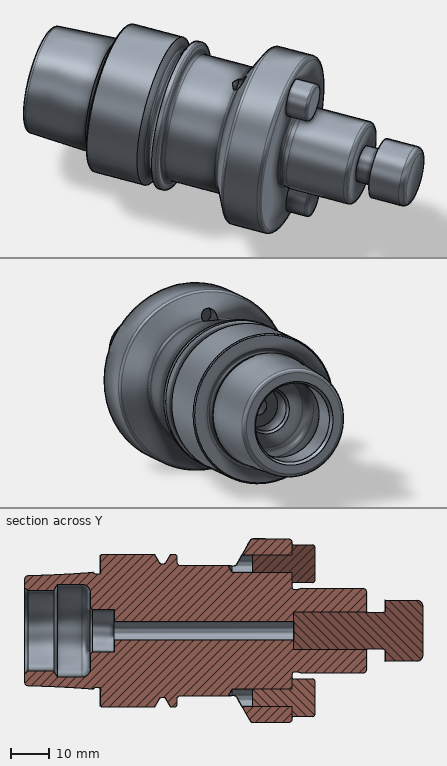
import cadquery as cq
import math

flange_face_x = 19.7
flange_end_x = 34.0
collar_start_x = 38.0
collar_end_x = 39.8
cone_start_x = 55.1
head_face_x = 69.8
spigot_end_x = 89.3
screw_head_x = 94.0
overall_length = 103.9

taper_end_x = 17.9
taper_big_radius = 15.3
taper_slope = 0.05
taper_end_round = 0.9
relief_radius = 14.9
relief_ramp_length = 0.6
relief_outer_radius = 16.1
relief_depth = 0.2
relief_round = 0.5

flange_radius = 20.0
flange_chamfer = 0.3
groove_radius = 17.5
groove_wall_angle = 30.0
groove_round = 0.6
neck_radius = 17.0
collar_round = 0.6
neck_round = 0.9

head_radius = 24.0
cone_angle = 60.0
cone_root_round = 1.0
head_round = 0.9

spigot_radius = 11.1
spigot_start_x = 72.3
spigot_round = 1.0
spigot_relief_radius = 10.8
spigot_relief_round = 0.6
spigot_relief_ramp_x = 71.1

bore_radius = 10.5
bore_mouth_radius = 11.1
bore_mouth_length = 0.9
bore_end_x = 7.7
clamp_groove_radius = 12.1
clamp_groove_angle = 60.0
clamp_groove_end_x = 17.1
clamp_floor_radius = 9.9
socket_radius = 5.5
socket_depth = 6.2
socket_chamfer = 0.6
coolant_radius = 2.4

shank_radius = 4.9
screw_tip_x = 70.1
screw_head_radius = 8.0
screw_head_round = 1.6
screw_neck_round = 0.4

pin_offset = 17.5
pin_radius = 5.0
pin_height = 5.9
pin_round = 0.6
stem_radius = 2.2
stem_length = 10.4
stem_hole_end_x = 54.1
drill_tip_length = 1.2


def x_cylinder(start_x, end_x, radius, z=0.0):
    """Cylinder along X between two stations."""
    return cq.Workplane("YZ", origin=(start_x, 0, z)).circle(radius).extrude(end_x - start_x)


def x_cone(start_x, end_x, start_radius, end_radius, z=0.0):
    """Cone or truncated cone along X between two stations."""
    return cq.Workplane(
        cq.Solid.makeCone(start_radius, end_radius, end_x - start_x,
                          cq.Vector(start_x, 0, z), cq.Vector(1, 0, 0))
    )


def disc_box(x, radius, slack):
    """Box selector around a thin slab at a station, reaching out to a radius."""
    return cq.selectors.BoxSelector((x - slack, -radius, -radius), (x + slack, radius, radius), boundingbox=True)


def ring_edges(body, x, radius):
    """Circular edges of a body centred on the X axis at a station."""
    slack = 0.01
    return body.edges(disc_box(x, radius + slack, slack) - disc_box(x, radius - slack, slack))


def arbor_blank():
    """Turned outside of the arbor, from the taper shank to the spigot."""
    taper_small_radius = taper_big_radius - taper_slope * taper_end_x
    groove_run = (flange_radius - groove_radius) * math.tan(math.radians(groove_wall_angle))
    cone_end_x = cone_start_x + (head_radius - neck_radius) / math.tan(math.radians(cone_angle))
    relief_floor_x = flange_face_x + relief_depth
    blank = (
        cq.Workplane("XY")
        .moveTo(0, 0)
        .lineTo(0, taper_small_radius)
        .lineTo(taper_end_x, taper_big_radius)
        .lineTo(taper_end_x + relief_ramp_length, relief_radius)
        .lineTo(relief_floor_x, relief_radius)
        .lineTo(flange_face_x, relief_outer_radius)
        .lineTo(flange_face_x, flange_radius - flange_chamfer)
        .lineTo(flange_face_x + flange_chamfer, flange_radius)
        .lineTo(flange_end_x, flange_radius)
        .lineTo(flange_end_x + groove_run, groove_radius)
        .lineTo(collar_start_x - groove_run, groove_radius)
        .lineTo(collar_start_x, flange_radius)
        .lineTo(collar_end_x, flange_radius)
        .lineTo(collar_end_x, neck_radius)
        .lineTo(cone_start_x, neck_radius)
        .lineTo(cone_end_x, head_radius)
        .lineTo(head_face_x, head_radius)
        .lineTo(head_face_x, spigot_relief_radius)
        .lineTo(spigot_relief_ramp_x, spigot_relief_radius)
        .lineTo(spigot_start_x, spigot_radius)
        .lineTo(spigot_end_x, spigot_radius)
        .lineTo(spigot_end_x, 0)
        .close()
        .revolve(360, (0, 0, 0), (1, 0, 0))
    )
    rounded_rings = [
        (0, taper_small_radius, taper_end_round),
        (relief_floor_x, relief_radius, relief_round),
        (flange_end_x + groove_run, groove_radius, groove_round),
        (collar_start_x - groove_run, groove_radius, groove_round),
        (collar_end_x, flange_radius, collar_round),
        (collar_end_x, neck_radius, neck_round),
        (cone_start_x, neck_radius, cone_root_round),
        (cone_end_x, head_radius, head_round),
        (head_face_x, head_radius, head_round),
        (head_face_x, spigot_relief_radius, spigot_relief_round),
        (spigot_end_x, spigot_radius, spigot_round),
    ]
    for x, radius, round_radius in rounded_rings:
        blank = ring_edges(blank, x, radius).fillet(round_radius)
    return blank


def clamp_bore():
    """Bore behind the taper end, undercut by a groove that ends in a rounded floor."""
    groove_rise = clamp_groove_radius - bore_radius
    groove_start_x = bore_end_x + groove_rise / math.tan(math.radians(clamp_groove_angle))
    floor_round = clamp_groove_radius - clamp_floor_radius
    round_start_x = clamp_groove_end_x - floor_round
    half_way = math.sqrt(0.5) * floor_round
    return (
        cq.Workplane("XY")
        .moveTo(0, 0)
        .lineTo(0, bore_mouth_radius)
        .lineTo(bore_mouth_length, bore_radius)
        .lineTo(bore_end_x, bore_radius)
        .lineTo(groove_start_x, clamp_groove_radius)
        .lineTo(round_start_x, clamp_groove_radius)
        .threePointArc((round_start_x + half_way, clamp_floor_radius + half_way),
                       (clamp_groove_end_x, clamp_floor_radius))
        .lineTo(clamp_groove_end_x, 0)
        .close()
        .revolve(360, (0, 0, 0), (1, 0, 0))
    )


def socket():
    """Chamfered blind socket in the floor of the clamping bore, with the passage up to the screw."""
    start_x = clamp_groove_end_x
    straight = x_cylinder(start_x, start_x + socket_depth, socket_radius)
    mouth = x_cone(start_x, start_x + socket_chamfer, socket_radius + socket_chamfer, socket_radius)
    passage = x_cylinder(start_x, screw_tip_x, coolant_radius)
    return straight.union(mouth).union(passage)


def stem_hole(z):
    """Blind drilled hole for a pin stem, breaking out at the root of the cone."""
    straight = x_cylinder(stem_hole_end_x, head_face_x, stem_radius, z)
    tip = x_cone(stem_hole_end_x - drill_tip_length, stem_hole_end_x, 0, stem_radius, z)
    return straight.union(tip)


def make_arbor():
    body = arbor_blank().cut(clamp_bore()).cut(socket())
    body = body.cut(x_cylinder(screw_tip_x, spigot_end_x, shank_radius))
    for z in pin_places:
        body = body.cut(stem_hole(z))
    return body


def make_screw():
    """Clamping screw: shank in the spigot and a round head in front of it."""
    shank = x_cylinder(screw_tip_x, screw_head_x, shank_radius)
    head = x_cylinder(screw_head_x, overall_length, screw_head_radius)
    screw = shank.union(head)
    screw = ring_edges(screw, screw_head_x, shank_radius).fillet(screw_neck_round)
    return ring_edges(screw, overall_length, screw_head_radius).fillet(screw_head_round)


def make_pin(z):
    """Driver pin: round head on the front face, stem inside the head of the arbor."""
    head = x_cylinder(head_face_x, head_face_x + pin_height, pin_radius, z)
    head = head.faces(">X").edges().fillet(pin_round)
    stem = x_cylinder(head_face_x - stem_length, head_face_x, stem_radius, z)
    return head.union(stem)


pin_places = (pin_offset, -pin_offset)

arbor = make_arbor()
screw = make_screw()
pins = [make_pin(z) for z in pin_places]

result = cq.Compound.makeCompound([arbor.val(), screw.val(), *[pin.val() for pin in pins]])